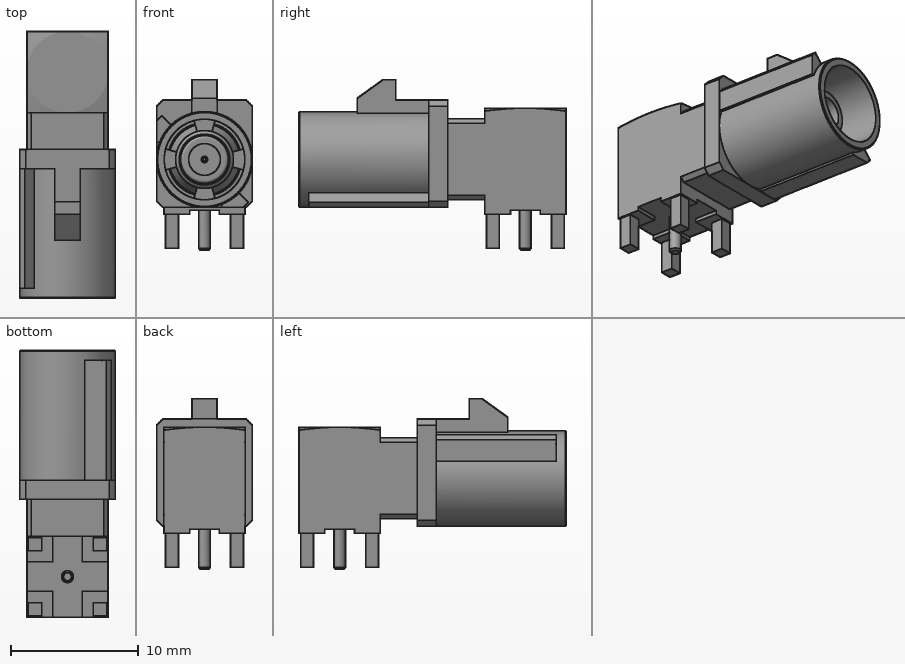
import cadquery as cq
import math


block_size = 6.36
block_top = 4.01
block_bottom = -4.3
crown_angle = 10.0
standoff_gap = 2.3
standoff_height = 0.32

leg_size = 1.02
leg_pitch = 5.08
leg_bottom = -6.95
pin_diameter = 0.92
pin_bottom = -7.09
pin_chamfer = 0.14

neck_top = 3.2
neck_bottom = -3.16
neck_chamfer = 0.36

flange_width = 7.5
flange_top = 4.66
flange_back = -6.05
flange_thickness = 1.5
flange_chamfer = 0.5

total_length = 20.88
barrel_radius = flange_width / 2
barrel_chamfer = 0.08
bore_radius = 3.15

coding_length = 9.37
coding_face = 3.72
coding_foot = 1.34
coding_shoulder = 3.04
coding_corner = (3.34, 3.42)

latch_width = 1.96
latch_catch = -10.13
latch_crest = -11.13
latch_nose = -13.16
latch_top = 6.25
latch_nose_top = 4.78

tube_recess = 2.2
tube_radius = 1.87
tube_bore_radius = 1.24
tube_bore_depth = 4.0
tube_fillet = 0.25
collar_base_radius = 2.87
collar_base_length = 0.5
collar_base_chamfer = 0.1
collar_front_radius = 2.26
collar_cone_length = 1.2
collar_tip_radius = 1.98
rib_angle = 30.0
rib_count = 4
contact_radius = 0.25
contact_tip_radius = 0.12
contact_length = 3.0

block_front = -block_size / 2
flange_front = flange_back - flange_thickness
barrel_mouth = block_size / 2 - total_length
bore_floor = flange_front
tube_face = barrel_mouth + tube_recess


def box(x_range, y_range, z_range):
    """Box spanning the given (low, high) ranges."""
    size = [high - low for low, high in (x_range, y_range, z_range)]
    corner = (x_range[0], y_range[0], z_range[0])
    return cq.Workplane("XY").box(*size, centered=False).translate(corner)


def along_axis(start, end):
    """Workplane at Y = start and the distance to extrude toward -Y; sketch x is X, sketch y is Z."""
    return cq.Workplane("XZ", origin=(0, start, 0)), start - end


def axis_cylinder(radius, start, end):
    plane, length = along_axis(start, end)
    return plane.circle(radius).extrude(length)


def make_block():
    half = block_size / 2
    span = (-half, half)
    block = box(span, span, (block_bottom, block_top))

    reach = block_size
    drop = (reach - half) * math.tan(math.radians(crown_angle))
    crown = (
        cq.Workplane("XZ")
        .moveTo(0, block_bottom)
        .lineTo(reach, block_bottom)
        .lineTo(reach, block_top - drop)
        .lineTo(half, block_top)
        .lineTo(0, block_top)
        .close()
        .revolve(360, (0, 0, 0), (0, 1, 0))
    )
    block = block.intersect(crown)

    gap = (-standoff_gap / 2, standoff_gap / 2)
    channel_height = (block_bottom, block_bottom + standoff_height)
    block = block.cut(box(gap, span, channel_height))
    return block.cut(box(span, gap, channel_height))


def make_legs():
    return (
        cq.Workplane("XY", origin=(0, 0, leg_bottom))
        .rarray(leg_pitch, leg_pitch, 2, 2)
        .rect(leg_size, leg_size)
        .extrude(block_bottom - leg_bottom)
    )


def make_pin():
    return (
        cq.Workplane("XY", origin=(0, 0, pin_bottom))
        .circle(pin_diameter / 2)
        .extrude(-pin_bottom)
        .faces("<Z")
        .chamfer(pin_chamfer)
    )


def make_neck():
    half = block_size / 2
    neck = box((-half, half), (flange_back, block_front), (neck_bottom, neck_top))
    return neck.edges("|Y").chamfer(neck_chamfer)


def make_flange():
    half = flange_width / 2
    flange = box((-half, half), (flange_front, flange_back), (-barrel_radius, flange_top))
    return flange.edges("|Y").chamfer(flange_chamfer)


def make_barrel():
    barrel = axis_cylinder(barrel_radius, flange_front, barrel_mouth)
    return barrel.faces("<Y").chamfer(barrel_chamfer)


def make_coding_ribs():
    """Rib on the -X side and its mirror image, about the plane X = Z, on the -Z side."""
    corner_x, corner_z = coding_corner
    side = [
        (-coding_face, coding_foot),
        (-coding_face, coding_shoulder),
        (-corner_x, corner_z),
        (-corner_x / 2, corner_z - corner_x / 2),
        (-corner_x / 2, coding_foot),
    ]
    underside = [(z, x) for x, z in side]
    plane, length = along_axis(flange_front, flange_front - coding_length)
    return plane.polyline(side).close().polyline(underside).close().extrude(length)


def make_latch():
    return (
        cq.Workplane("YZ")
        .moveTo(flange_front, bore_radius)
        .lineTo(flange_front, flange_top)
        .lineTo(latch_catch, flange_top)
        .lineTo(latch_catch, latch_top)
        .lineTo(latch_crest, latch_top)
        .lineTo(latch_nose, latch_nose_top)
        .lineTo(latch_nose, bore_radius)
        .close()
        .extrude(latch_width / 2, both=True)
    )


def make_inner_contact():
    """Tube with a stepped collar and a central contact, turned about the mating axis."""
    cone_start = bore_floor - collar_base_length
    cone_end = cone_start - collar_cone_length
    collar_end = cone_end - (collar_front_radius - collar_tip_radius)
    tube_floor = tube_face + tube_bore_depth
    contact_end = tube_floor - contact_length
    contact_chamfer = contact_radius - contact_tip_radius
    profile = [
        (0, bore_floor),
        (collar_base_radius, bore_floor),
        (collar_base_radius, cone_start + collar_base_chamfer),
        (collar_base_radius - collar_base_chamfer, cone_start),
        (collar_front_radius, cone_end),
        (collar_tip_radius, collar_end),
        (tube_radius, collar_end),
        (tube_radius, tube_face + tube_fillet),
    ]
    bend = tube_fillet * (1 - math.sqrt(0.5))
    turned = (
        cq.Workplane("XY")
        .polyline(profile)
        .threePointArc((tube_radius - bend, tube_face + bend), (tube_radius - tube_fillet, tube_face))
        .lineTo(tube_bore_radius, tube_face)
        .lineTo(tube_bore_radius, tube_floor)
        .lineTo(contact_radius, tube_floor)
        .lineTo(contact_radius, contact_end + contact_chamfer)
        .lineTo(contact_tip_radius, contact_end)
        .lineTo(0, contact_end)
        .close()
        .revolve(360, (0, 0, 0), (0, 1, 0))
    )

    plane, length = along_axis(bore_floor, cone_end)
    half_width = barrel_radius * math.tan(math.radians(rib_angle / 2))
    wedge = [(0, 0), (barrel_radius, -half_width), (barrel_radius, half_width)]
    rib = plane.polyline(wedge).close().extrude(length)
    rib = rib.intersect(axis_cylinder(bore_radius, bore_floor, cone_end))
    for index in range(rib_count):
        turned = turned.union(rib.rotate((0, 0, 0), (0, 1, 0), index * 360 / rib_count))
    return turned


result = (
    make_block()
    .union(make_legs())
    .union(make_pin())
    .union(make_neck())
    .union(make_flange())
    .union(make_barrel())
    .union(make_coding_ribs())
    .union(make_latch())
    .cut(axis_cylinder(bore_radius, bore_floor, barrel_mouth))
    .union(make_inner_contact())
)